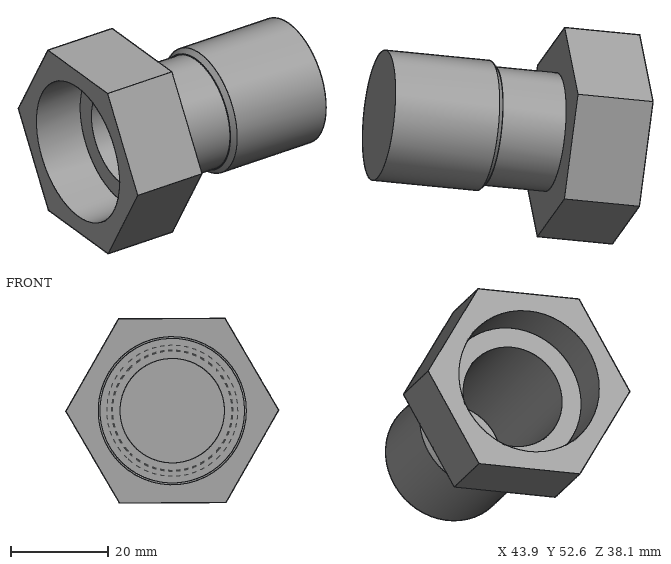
import cadquery as cq
import math

total_length = 52.65

nut_length = 16.0
nut_across_flats = 38.0
nut_turn = -0.3
nut_bore_diameter = 30.5
back_wall = 2.75

flange_diameter = 29.8
flange_face = 10.65
neck_diameter = 24.6
end_diameter = 27.0
bore_diameter = 21.5
shoulder_start = 29.45
shoulder_chamfer = 1.0

nut_corner_diameter = nut_across_flats / math.cos(math.radians(30))
nut_bore_depth = nut_length - back_wall
shoulder_end = shoulder_start + shoulder_chamfer
end_wall = (end_diameter - bore_diameter) / 2
bore_end = total_length - end_wall


def cylinder(diameter, start, end):
    """Solid cylinder on the Y axis between two Y positions."""
    plane = cq.Workplane("XZ", origin=(0, start, 0))
    return plane.circle(diameter / 2).extrude(start - end)


def make_nut():
    """Hexagonal nut with a wide front bore and a neck hole in its back wall."""
    hexagon = cq.Workplane("XZ").polygon(6, nut_corner_diameter).extrude(-nut_length)
    hexagon = hexagon.rotate((0, 0, 0), (0, 1, 0), nut_turn)
    front_bore = cylinder(nut_bore_diameter, 0, nut_bore_depth)
    neck_hole = cylinder(neck_diameter, 0, nut_length)
    return hexagon.cut(front_bore).cut(neck_hole)


def make_tailpiece():
    """Flanged tube with a neck, a chamfered shoulder and a closed, thicker end."""
    outline = [
        (0, flange_face),
        (flange_diameter / 2, flange_face),
        (flange_diameter / 2, nut_bore_depth),
        (neck_diameter / 2, nut_bore_depth),
        (neck_diameter / 2, shoulder_start),
        (end_diameter / 2 - shoulder_chamfer, shoulder_start),
        (end_diameter / 2, shoulder_end),
        (end_diameter / 2, total_length),
        (0, total_length),
    ]
    body = cq.Workplane("XY").polyline(outline).close().revolve(360, (0, 0), (0, 1))
    return body.cut(cylinder(bore_diameter, flange_face, bore_end))


nut = make_nut()
tailpiece = make_tailpiece()
result = cq.Compound.makeCompound([nut.val(), tailpiece.val()])